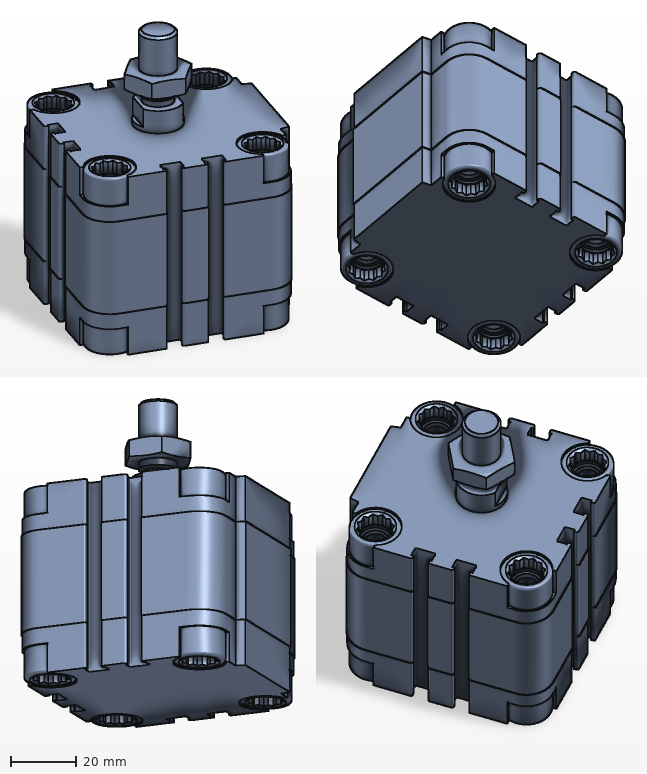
import cadquery as cq
import math

housing_height = 60.35
cap_height = 14.5
barrel_height = housing_height - 2 * cap_height

width = 68.0
depth = 71.0
half_side = width / 2
cap_inset = 0.23
screw_offset = 25.0
corner_radius = half_side - screw_offset
pad_reach = depth - half_side
pad_half_width = 16.9
pad_base_half_width = 17.6

slot_offset = 6.8
slot_mouth = 5.15
slot_width = 6.7
slot_lip = 1.7
slot_depth = 5.0
rib_lip_radius = 0.7
outer_lip_radius = 0.5
slot_floor_radius = 0.4
slot_face_angles = (-90, 0, 90)

head_diameter = 16.2
head_seat = 9.4
head_drop = 0.14
head_round = 0.9
corner_cut_start = 22.2
through_diameter = 6.6
countersink_diameter = 8.0
countersink_depth = 0.9
socket_flats = 10.0
socket_depth = 4.6
socket_mouth_diameter = 12.9
socket_flare_depth = 0.7
socket_bore_diameter = 10.2
socket_bore_depth = 5.7

rod_top = 92.0
rod_diameter = 16.0
rod_shoulder = 68.0
rod_flats = 13.0
rod_flats_bottom = 61.9
neck_diameter = 10.2
neck_top = 69.9
thread_diameter = 12.0
thread_chamfer = (thread_diameter - neck_diameter) / 2

nut_bottom = 73.0
nut_height = 6.0
nut_flats = 19.0
nut_face_diameter = 18.7
nut_chamfer_height = 0.5


def hexagon_corners(across_flats):
    """Diameter through the corners of a hexagon."""
    return across_flats / math.cos(math.pi / 6)


def cone(bottom_diameter, top_diameter, height):
    """Upright cone frustum standing on Z = 0."""
    return cq.Workplane(cq.Solid.makeCone(bottom_diameter / 2, top_diameter / 2, height))


def cylinder(diameter, height):
    """Upright cylinder standing on Z = 0."""
    return cq.Workplane().circle(diameter / 2).extrude(height)


def at_corners(body):
    """Four copies of a body, one on each corner screw axis."""
    copies = cq.Workplane()
    for x in (-screw_offset, screw_offset):
        for y in (-screw_offset, screw_offset):
            copies.add(body.translate((x, y, 0)))
    return copies.combine()


def round_upright_edges(body, points, radius):
    """Round the vertical edges that pass through the given XY points."""
    def is_chosen(edge):
        place = edge.Center()
        return any(math.hypot(place.x - x, place.y - y) < radius / 10 for x, y in points)
    return body.edges("|Z").filter(is_chosen).fillet(radius)


def cut_slots(body, face, height):
    """Cut the pair of T-slots in the -Y face, which lies at Y = -face."""
    floor = slot_depth - half_side
    lip_back = slot_lip - half_side
    for side in (-1, 1):
        centre = side * slot_offset
        mouth = cq.Workplane().center(centre, (floor - face) / 2).rect(slot_mouth, face + floor)
        pocket = cq.Workplane().center(centre, (floor + lip_back) / 2).rect(slot_width, floor - lip_back)
        body = body.cut(mouth.extrude(height)).cut(pocket.extrude(height))

    rib_edge = slot_offset - slot_mouth / 2
    outer_edge = slot_offset + slot_mouth / 2
    floor_edges = (slot_offset - slot_width / 2, slot_offset + slot_width / 2)
    body = round_upright_edges(body, [(side * rib_edge, -face) for side in (-1, 1)], rib_lip_radius)
    body = round_upright_edges(body, [(side * outer_edge, -face) for side in (-1, 1)], outer_lip_radius)
    floor_points = [(side * x, floor) for side in (-1, 1) for x in floor_edges]
    return round_upright_edges(body, floor_points, slot_floor_radius)


def make_section(inset, height):
    """Length of the housing profile, with its outer faces moved in by the inset."""
    face = half_side - inset
    pad_face = pad_reach - inset
    body = cq.Workplane().rect(2 * face, 2 * face).extrude(height)
    body = body.edges("|Z").fillet(corner_radius - inset)
    pad = cq.Workplane().polyline([
        (inset - pad_base_half_width, face),
        (pad_base_half_width - inset, face),
        (pad_half_width - inset, pad_face),
        (inset - pad_half_width, pad_face),
    ]).close().extrude(height)
    body = body.union(pad)
    for angle in slot_face_angles:
        body = body.rotate((0, 0, 0), (0, 0, 1), -angle)
        body = cut_slots(body, face, height)
        body = body.rotate((0, 0, 0), (0, 0, 1), angle)
    return body


def make_screw_head():
    """Screw head with its seat on Z = 0, before its socket is cut."""
    head = cylinder(head_diameter, head_seat - head_drop)
    return head.faces(">Z").edges().fillet(head_round)


def make_socket():
    """Twelve-point socket, bore and countersink, opening at Z = 0."""
    across_corners = hexagon_corners(socket_flats)
    flare = cone(socket_bore_diameter, socket_mouth_diameter, socket_flare_depth)
    socket = flare.translate((0, 0, -socket_flare_depth))
    for angle in (0, 30):
        hexagon = cq.Workplane().polygon(6, across_corners).extrude(-socket_depth)
        socket = socket.union(hexagon.rotate((0, 0, 0), (0, 0, 1), angle))
    socket = socket.union(cylinder(socket_bore_diameter, -socket_bore_depth))
    countersink = cone(through_diameter, countersink_diameter, countersink_depth)
    return socket.union(countersink.translate((0, 0, -socket_bore_depth - countersink_depth)))


def make_top_cap():
    """Upper end cap with its outer face at Z = 0."""
    cap = make_section(cap_inset, cap_height).translate((0, 0, -cap_height))
    corner_side = 2 * (half_side - corner_cut_start)
    corner = cq.Workplane().rect(corner_side, corner_side).extrude(-head_seat)
    for x in (-half_side, half_side):
        for y in (-half_side, half_side):
            cap = cap.cut(corner.translate((x, y, 0)))
    cap = cap.cut(at_corners(cylinder(head_diameter, -head_seat)))
    cap = cap.union(at_corners(make_screw_head().translate((0, 0, -head_seat))))
    return cap.cut(at_corners(make_socket().translate((0, 0, -head_drop))))


def make_housing():
    """Barrel with an end cap and four screw heads at each end."""
    barrel = make_section(0, barrel_height).translate((0, 0, cap_height))
    cap = make_top_cap()
    top_cap = cap.translate((0, 0, housing_height))
    bottom_cap = cap.mirror("XY")
    body = barrel.union(top_cap).union(bottom_cap)
    return body.cut(at_corners(cylinder(through_diameter, housing_height)))


def make_rod():
    """Stepped rod standing on the housing, with two spanner flats."""
    chamfer_base = neck_top + thread_chamfer
    rod = cq.Workplane("XZ").polyline([
        (0, housing_height),
        (rod_diameter / 2, housing_height),
        (rod_diameter / 2, rod_shoulder),
        (neck_diameter / 2, rod_shoulder),
        (neck_diameter / 2, neck_top),
        (thread_diameter / 2, chamfer_base),
        (thread_diameter / 2, rod_top - thread_chamfer),
        (neck_diameter / 2, rod_top),
        (0, rod_top),
    ]).close().revolve(360, (0, 0, 0), (0, 1, 0))
    flat_height = rod_shoulder - rod_flats_bottom
    for side in (-1, 1):
        waste = cq.Workplane().rect(rod_diameter, rod_diameter).extrude(flat_height)
        rod = rod.cut(waste.translate((0, side * (rod_flats + rod_diameter) / 2, rod_flats_bottom)))
    return rod


def make_nut():
    """Hexagon nut with corners on the Y axis, chamfered at both faces."""
    across_corners = hexagon_corners(nut_flats)
    nut = cq.Workplane().polygon(6, across_corners).extrude(nut_height).rotate((0, 0, 0), (0, 0, 1), 30)
    blank = cq.Workplane("XZ").polyline([
        (0, 0),
        (nut_face_diameter / 2, 0),
        (across_corners / 2, nut_chamfer_height),
        (across_corners / 2, nut_height - nut_chamfer_height),
        (nut_face_diameter / 2, nut_height),
        (0, nut_height),
    ]).close().revolve(360, (0, 0, 0), (0, 1, 0))
    nut = nut.intersect(blank).cut(cylinder(thread_diameter, nut_height))
    return nut.translate((0, 0, nut_bottom))


housing = make_housing()
rod = make_rod()
nut = make_nut()

result = cq.Compound.makeCompound([housing.val(), rod.val(), nut.val()])